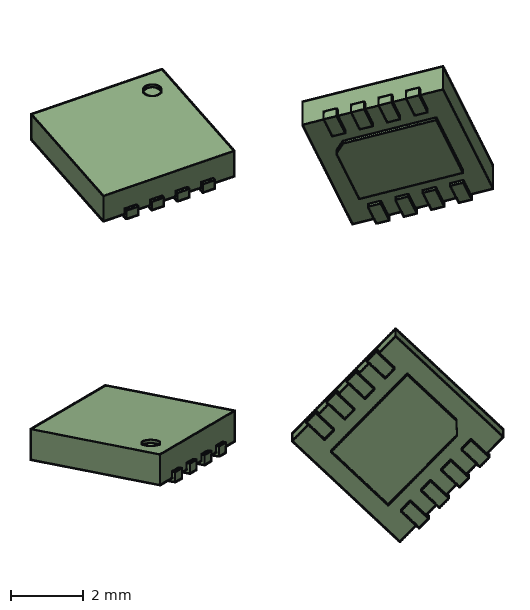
import cadquery as cq

overall_length = 4.3
overall_height = 1.0
housing_side = 4.1
metal_thickness = 0.105
housing_height = overall_height - metal_thickness

mark_diameter = 0.51
mark_offset = 1.365
mark_depth = 0.1

leads_per_side = 4
lead_pitch = 0.8
lead_width = 0.38
lead_height = 0.3
foot_length = 0.7
lead_thickness = (overall_length - housing_side) / 2

pad_length = 2.175
pad_width = 3.02
pad_chamfer = 0.3


def make_housing():
    """Square block resting on the metal parts, with the pin-one mark in its top."""
    block = cq.Workplane("XY", origin=(0, 0, metal_thickness)).box(
        housing_side, housing_side, housing_height, centered=(True, True, False)
    )
    mark = (
        cq.Workplane("XY", origin=(-mark_offset, mark_offset, overall_height))
        .circle(mark_diameter / 2)
        .extrude(-mark_depth)
    )
    return block.cut(mark)


def make_lead(side, y_center):
    """L-shaped lead centered on y_center; side is -1 for the -X row and +1 for the +X row."""
    outer_x = side * overall_length / 2
    wall_x = outer_x - side * lead_thickness
    inner_x = outer_x - side * foot_length
    profile = [
        (outer_x, 0),
        (outer_x, lead_height),
        (wall_x, lead_height),
        (wall_x, metal_thickness),
        (inner_x, metal_thickness),
        (inner_x, 0),
    ]
    return (
        cq.Workplane("XZ", origin=(0, y_center, 0))
        .polyline(profile)
        .close()
        .extrude(lead_width / 2, both=True)
    )


def make_thermal_pad():
    """Flat plate under the housing, chamfered at its pin-one corner."""
    plate = cq.Workplane("XY").box(pad_length, pad_width, metal_thickness, centered=(True, True, False))
    return plate.edges("|Z").edges("<X").edges(">Y").chamfer(pad_chamfer)


housing = make_housing()
thermal_pad = make_thermal_pad()

leads = []
for side in (-1, 1):
    for index in range(leads_per_side):
        y_center = (index - (leads_per_side - 1) / 2) * lead_pitch
        leads.append(make_lead(side, y_center))

result = cq.Compound.makeCompound(
    [housing.val(), thermal_pad.val(), *[lead.val() for lead in leads]]
)